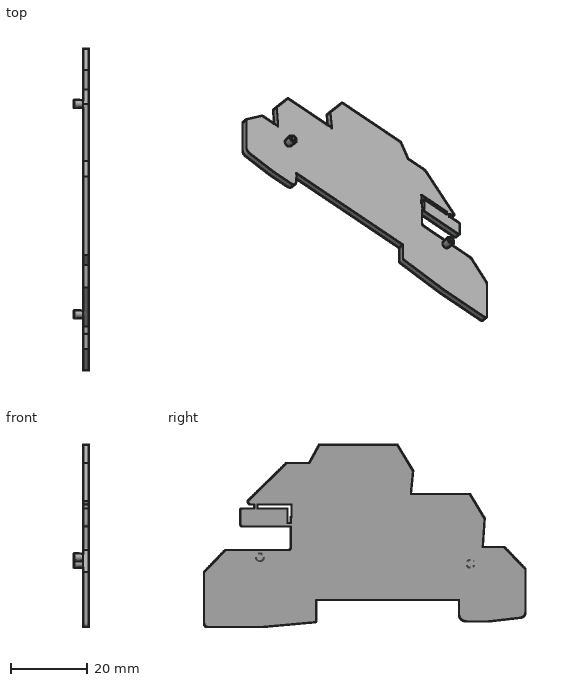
import cadquery as cq

LENGTH = 84.5
THICKNESS = 1.5
PIN_LENGTH = 2.48
TOP_Z = 47.95

LEFT_TOE_Z = 2.6
LEFT_SHOULDER_Z = 15.3
LEFT_STEP_START = 5.6
LEFT_STEP_END = 11.2
LEFT_STEP_Z = 21.1
MIDDLE_CHIN = 10.7
MIDDLE_CHIN_Z = 28.55
MIDDLE_STEP_START = 14.6
MIDDLE_STEP_END = 30.1
MIDDLE_STEP_Z = 35.05
TOP_CHIN = 29.5
TOP_CHIN_Z = 41.05
TOP_START = 33.65
TOP_END = 54.25
SHOULDER_START = 56.85
SHOULDER_END = 62.8
SHOULDER_Z = 43.2
FLOOR_END = 78.9
FLOOR_Z = 20.3
RIGHT_SHOULDER_Z = 14.5
RIGHT_SOLE_START = 69.3
RIGHT_TOE_Z = 1.3
FOOT_RIGHT_START = 54.95
RAIL_Z = 7.1
FOOT_LEFT_END = 17.55
LEFT_FOOT_Z = 1.5
LEFT_SOLE_START = 9.5

BAR_ROOT = 61.75
BAR_END = 75.0
BAR_BOTTOM_Z = 26.4
BAR_TOP_Z = 31.2
ARM_END = 73.0
ARM_BOTTOM_Z = 32.2
ARM_TIP_Z = 33.2
SLOT_START = 61.5
SLOT_END = 62.5
SLOT_STEP_Z = 29.0
SLOT_BOTTOM_Z = 27.4
TIE_START = 70.4
TIE_END = 71.35

SMALL_RADIUS = 0.5
ARM_TIP_RADIUS = 0.85
BAR_LOWER_RADIUS = 0.75
HEEL_RADIUS = 1.0
FOOT_OUTER_RADIUS = 1.5
FOOT_INNER_RADIUS = 2.0

PIN_CENTRES = [(14.5, 16.65), (69.8, 18.35)]
PIN_NECK_RADIUS = 1.0
PIN_BODY_BASE_RADIUS = 1.05
PIN_BODY_TIP_RADIUS = 1.15
PIN_END_RADIUS = 0.9
PIN_NECK_LENGTH = 0.25
PIN_BODY_START = 0.5
PIN_TIP_CHAMFER_LENGTH = 0.28


def extrude_outline(points):
    """Extrude an (s, z) polygon through the plate thickness, from X = 0 to +X."""
    outline = [(LENGTH - s, z) for s, z in points]
    return cq.Workplane("YZ").polyline(outline).close().extrude(THICKNESS)


def round_corner(body, s, z, radius):
    """Round the through-thickness edge standing at (s, z)."""
    reach = 0.05
    y = LENGTH - s
    lower_corner = (-reach, y - reach, z - reach)
    upper_corner = (THICKNESS + reach, y + reach, z + reach)
    selector = cq.selectors.BoxSelector(lower_corner, upper_corner)
    return body.edges("|X").edges(selector).fillet(radius)


def make_plate():
    """Stepped plate with two feet, the overhanging arm and the latch bar."""
    left_toe = (0, LEFT_TOE_Z)
    right_toe = (FOOT_RIGHT_START, RIGHT_TOE_Z)
    points = [
        left_toe,
        (0, LEFT_SHOULDER_Z),
        (LEFT_STEP_START, LEFT_STEP_Z),
        (LEFT_STEP_END, LEFT_STEP_Z),
        (MIDDLE_CHIN, MIDDLE_CHIN_Z),
        (MIDDLE_STEP_START, MIDDLE_STEP_Z),
        (MIDDLE_STEP_END, MIDDLE_STEP_Z),
        (TOP_CHIN, TOP_CHIN_Z),
        (TOP_START, TOP_Z),
        (TOP_END, TOP_Z),
        (SHOULDER_START, SHOULDER_Z),
        (SHOULDER_END, SHOULDER_Z),
        (ARM_END, ARM_TIP_Z),
        (ARM_END, ARM_BOTTOM_Z),
        (TIE_END, ARM_BOTTOM_Z),
        (TIE_END, BAR_TOP_Z),
        (BAR_END, BAR_TOP_Z),
        (BAR_END, BAR_BOTTOM_Z),
        (BAR_ROOT, BAR_BOTTOM_Z),
        (BAR_ROOT, FLOOR_Z),
        (FLOOR_END, FLOOR_Z),
        (LENGTH, RIGHT_SHOULDER_Z),
        (LENGTH, 0),
        (RIGHT_SOLE_START, 0),
        right_toe,
        (FOOT_RIGHT_START, RAIL_Z),
        (FOOT_LEFT_END, RAIL_Z),
        (FOOT_LEFT_END, LEFT_FOOT_Z),
        (LEFT_SOLE_START, LEFT_FOOT_Z),
    ]
    plate = extrude_outline(points)
    rounded_corners = [
        (*left_toe, FOOT_OUTER_RADIUS),
        (FOOT_LEFT_END, LEFT_FOOT_Z, FOOT_INNER_RADIUS),
        (*right_toe, SMALL_RADIUS),
        (LENGTH, 0, HEEL_RADIUS),
        (BAR_ROOT, FLOOR_Z, SMALL_RADIUS),
        (BAR_END, BAR_BOTTOM_Z, BAR_LOWER_RADIUS),
        (BAR_END, BAR_TOP_Z, SMALL_RADIUS),
        (ARM_END, ARM_BOTTOM_Z, ARM_TIP_RADIUS),
    ]
    for s, z, radius in rounded_corners:
        plate = round_corner(plate, s, z, radius)
    return plate


def make_slot():
    """L-shaped slot that runs behind and above the latch bar, up to the tie."""
    return extrude_outline([
        (SLOT_START, ARM_BOTTOM_Z),
        (TIE_START, ARM_BOTTOM_Z),
        (TIE_START, BAR_TOP_Z),
        (SLOT_END, BAR_TOP_Z),
        (SLOT_END, SLOT_BOTTOM_Z),
        (BAR_ROOT, SLOT_BOTTOM_Z),
        (BAR_ROOT, SLOT_STEP_Z),
        (SLOT_START, SLOT_STEP_Z),
    ])


def make_pin(s, z):
    """Turned locating pin on the -X face: short neck, body widening outwards, chamfered tip."""
    profile = [
        (0, 0),
        (0, PIN_NECK_RADIUS),
        (-PIN_NECK_LENGTH, PIN_NECK_RADIUS),
        (-PIN_BODY_START, PIN_BODY_BASE_RADIUS),
        (PIN_TIP_CHAMFER_LENGTH - PIN_LENGTH, PIN_BODY_TIP_RADIUS),
        (-PIN_LENGTH, PIN_END_RADIUS),
        (-PIN_LENGTH, 0),
    ]
    pin = cq.Workplane("XY").polyline(profile).close().revolve(360, (0, 0, 0), (1, 0, 0))
    return pin.translate((0, LENGTH - s, z))


result = make_plate().cut(make_slot())
for pin_s, pin_z in PIN_CENTRES:
    result = result.union(make_pin(pin_s, pin_z))